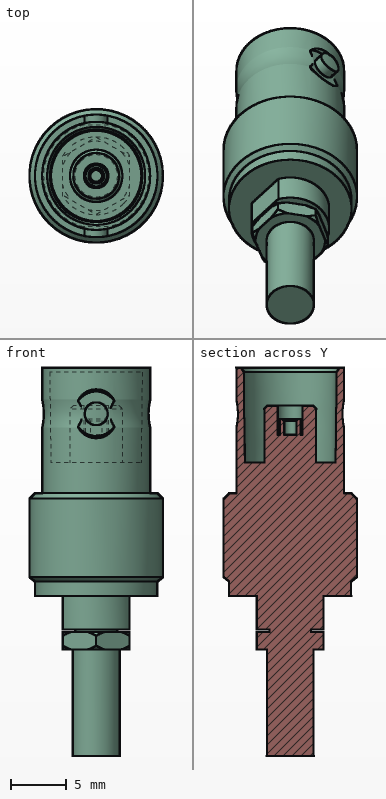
import cadquery as cq
import math

total_height = 34.85
FULL_TURN = 360
NUT_SIDES = 6

tube_radius = 2.125
nut_bottom = 9.55
nut_height = 1.6
neck_radius = 1.9
neck_height = 0.2
wrench_body_height = 3.0
base_flange_height = 1.3
collar_height = 7.95

nut_top = nut_bottom + nut_height
wrench_body_bottom = nut_top + neck_height
wrench_body_top = wrench_body_bottom + wrench_body_height
flange_top = wrench_body_top + base_flange_height
collar_top = flange_top + collar_height

across_flats = 6.0
nut_chamfer = 0.35
wrench_body_radius = 3.5

collar_radius = 6.0
base_flange_radius = 5.5
collar_top_chamfer = 0.5
collar_bottom_chamfer_height = 0.4

sleeve_radius = 4.85
pin_height = total_height - 4.14
pin_radius = 1.03
pin_tip_radius = 5.5
pin_root = 4.3
groove_half_width = 1.25
groove_depth = 0.14
spot_face_floor_radius = 2.0
spot_face_rim_radius = 2.2
spot_face_distance = 4.55

mouth_radius = 4.4
throat_radius = 4.15
mouth_depth = 0.4
floor_radius = 4.05
bore_depth = 8.5

post_radius = 2.35
post_chamfer = 0.3
post_depth = 3.4
post_hole_radius = 1.1
post_hole_depth = 6.0
contact_radius = 0.95
contact_depth = 4.6
contact_hole_radius = 0.53
contact_lead_in = 0.17


def cylinder(radius, bottom, top):
    """Solid cylinder about the Z axis between two heights."""
    return cq.Workplane("XY").workplane(offset=bottom).circle(radius).extrude(top - bottom)


def revolve_profile(outline):
    """Turn a closed XZ outline about the Z axis."""
    return outline.close().revolve(FULL_TURN, (0, 0, 0), (0, 1, 0))


def cable_end():
    """Crimp tube with the thin neck that separates nut and wrench body."""
    tube = cylinder(tube_radius, 0, nut_bottom)
    neck = cylinder(neck_radius, nut_bottom, wrench_body_bottom)
    return tube.union(neck)


def hex_nut():
    """Hex nut, flats facing +X and -X, corners turned down at both ends."""
    across_corners = across_flats / math.cos(math.pi / NUT_SIDES)
    hexagon = (
        cq.Workplane(cq.Plane(origin=(0, 0, nut_bottom), xDir=(0, 1, 0), normal=(0, 0, 1)))
        .polygon(NUT_SIDES, across_corners)
        .extrude(nut_height)
    )
    turned_blank = cylinder(across_corners / 2, nut_bottom, nut_top).edges().chamfer(nut_chamfer)
    return hexagon.intersect(turned_blank)


def wrench_body():
    """Round body with two opposite wrench flats facing +X and -X."""
    slab = cq.Workplane("XY").workplane(offset=wrench_body_bottom)
    slab = slab.rect(across_flats, 2 * wrench_body_radius).extrude(wrench_body_height)
    return cylinder(wrench_body_radius, wrench_body_bottom, wrench_body_top).intersect(slab)


def collar():
    """Large collar, chamfered at both ends, on a shorter base flange."""
    outline = (
        cq.Workplane("XZ")
        .moveTo(0, wrench_body_top)
        .lineTo(base_flange_radius, wrench_body_top)
        .lineTo(base_flange_radius, flange_top)
        .lineTo(collar_radius, flange_top + collar_bottom_chamfer_height)
        .lineTo(collar_radius, collar_top - collar_top_chamfer)
        .lineTo(collar_radius - collar_top_chamfer, collar_top)
        .lineTo(0, collar_top)
    )
    return revolve_profile(outline)


def sleeve():
    """Bayonet sleeve with a shallow rounded groove at pin height."""
    outline = (
        cq.Workplane("XZ")
        .moveTo(0, collar_top)
        .lineTo(sleeve_radius, collar_top)
        .lineTo(sleeve_radius, pin_height - groove_half_width)
        .threePointArc(
            (sleeve_radius - groove_depth, pin_height),
            (sleeve_radius, pin_height + groove_half_width),
        )
        .lineTo(sleeve_radius, total_height)
        .lineTo(0, total_height)
    )
    return revolve_profile(outline)


def spot_face_cutter(side):
    """Cone that cuts a flat, flared spot face on one side (+1 or -1 in Y)."""
    cone = cq.Solid.makeCone(
        spot_face_floor_radius,
        spot_face_rim_radius,
        sleeve_radius - spot_face_distance,
        cq.Vector(0, side * spot_face_distance, pin_height),
        cq.Vector(0, side, 0),
    )
    return cq.Workplane("XY").add(cone)


def bayonet_pin(side):
    """Pin on one side (+1 or -1 in Y), its tip following a cylinder about Z."""
    root_plane = cq.Plane(
        origin=(0, side * pin_root, pin_height), xDir=(1, 0, 0), normal=(0, side, 0)
    )
    pin = cq.Workplane(root_plane).circle(pin_radius).extrude(pin_tip_radius - pin_root)
    tip_envelope = cylinder(pin_tip_radius, pin_height - pin_radius, pin_height + pin_radius)
    return pin.intersect(tip_envelope)


def socket():
    """Cavity of the sleeve: flared mouth above a slightly tapered bore."""
    outline = (
        cq.Workplane("XZ")
        .moveTo(0, total_height)
        .lineTo(mouth_radius, total_height)
        .lineTo(throat_radius, total_height - mouth_depth)
        .lineTo(floor_radius, total_height - bore_depth)
        .lineTo(0, total_height - bore_depth)
    )
    return revolve_profile(outline)


def insulator_post():
    """Chamfered insulator post with a recessed, hollow centre contact."""
    post_top = total_height - post_depth
    smallest_circle = cq.selectors.RadiusNthSelector(0)
    hole_floor = total_height - post_hole_depth
    contact_top = total_height - contact_depth
    post = cylinder(post_radius, total_height - bore_depth, post_top)
    post = post.faces(">Z").chamfer(post_chamfer)
    post = post.cut(cylinder(post_hole_radius, hole_floor, post_top))
    contact = cylinder(contact_radius, hole_floor, contact_top)
    contact = contact.cut(cylinder(contact_hole_radius, hole_floor, contact_top))
    contact = contact.faces(">Z").edges(smallest_circle).chamfer(contact_lead_in)
    return post.union(contact)


connector = cable_end().union(hex_nut()).union(wrench_body()).union(collar()).union(sleeve())
connector = connector.cut(socket()).union(insulator_post())
for side in (1, -1):
    connector = connector.cut(spot_face_cutter(side)).union(bayonet_pin(side))

result = cq.Workplane(connector.solids().val())